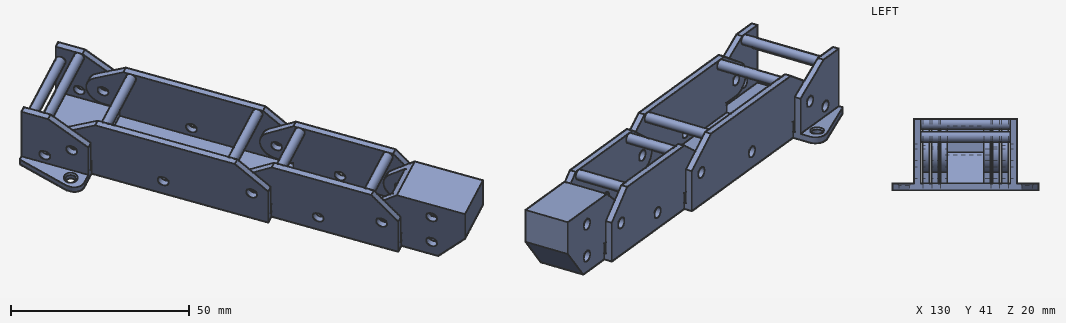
import cadquery as cq
import math

total_length = 130.0
height = 20.0
wall = 2.0
floor = 2.0
side_gap = 0.5
tip_width = 14.0

base_pivot_x = 15.1
long_pitch = 52.9
short_pitch = 38.0
hinge_hole_diameter = 3.2
rod_diameter = 3.0

base_slope = (12.1, 7.0)
long_slope = (10.0, 7.4)
short_slope = (8.0, 7.8)
tip_nose_run = 8.0
tip_nose_rise = height / 2

long_corner_offset = 6.1
short_corner_offset = 5.1
tip_corner_offset = 3.6

long_rear_rod_inset = 2.3
short_rear_rod_inset = 2.0
front_rod_inset = 1.5
base_front_rod_x = 7.0
base_rear_rod_z = 15.0
tip_hole_inset = 10.0

overall_width = 41.0
ear_rear_reach = 15.7
ear_flat_start_x = 15.9
ear_corner_radius = 3.0
ear_rear_radius = 0.5
ear_hole_diameter = 3.0
ear_hole_inset = 3.2
ear_hole_chamfer = 0.45

ear_reach = overall_width / 2
pivot_z = height / 2
lug_radius = height / 4
cord_hole_z = height / 4
rod_radius = rod_diameter / 2

long_pivot_x = base_pivot_x + long_pitch
short_pivot_x = long_pivot_x + short_pitch
base_end_x = base_pivot_x + lug_radius
long_end_x = long_pivot_x + lug_radius
short_end_x = short_pivot_x + lug_radius

short_inner = tip_width + 2 * side_gap
short_outer = short_inner + 2 * wall
long_inner = short_outer + 2 * side_gap
long_outer = long_inner + 2 * wall
base_inner = long_outer + 2 * side_gap
base_outer = base_inner + 2 * wall

rod_top_z = height - rod_radius


def extrude_across(sketch, width):
    """Extrude an XZ outline by width, centred on Y = 0."""
    return sketch.extrude(width).translate((0, width / 2, 0))


def cross_cylinder(x, z, diameter, width):
    """Cylinder along Y, centred on Y = 0."""
    return extrude_across(cq.Workplane("XZ").center(x, z).circle(diameter / 2), width)


def drill_across(body, points):
    """Drill the hinge-size holes through the full width at each (x, z)."""
    for x, z in points:
        body = body.cut(cross_cylinder(x, z, hinge_hole_diameter, base_outer))
    return body


def cut_channel(body, inner):
    """Hollow a body from the top down to the floor, leaving its side walls."""
    channel = (
        cq.Workplane("XY")
        .box(total_length, inner, height, centered=(False, True, False))
        .translate((0, 0, floor))
    )
    return body.cut(channel)


def lug_outline(pivot_x, corner_offset):
    """Start a link outline: floor edge, hinge lug arc, slope tangent to the lug, top corner."""
    corner_rise = height - pivot_z
    corner_distance = math.hypot(corner_offset, corner_rise)
    tangent_angle = math.atan2(corner_rise, corner_offset) + math.acos(lug_radius / corner_distance)
    tangent = (
        pivot_x + lug_radius * math.cos(tangent_angle),
        pivot_z + lug_radius * math.sin(tangent_angle),
    )
    return (
        cq.Workplane("XZ")
        .moveTo(pivot_x + lug_radius, 0)
        .lineTo(pivot_x + lug_radius, pivot_z - lug_radius)
        .lineTo(pivot_x, pivot_z - lug_radius)
        .threePointArc((pivot_x - lug_radius, pivot_z), tangent)
        .lineTo(pivot_x + corner_offset, height)
    )


def channel_link(pivot_x, next_pivot_x, corner_offset, end_slope, outer, inner):
    """U-shaped link with a lug at its own hinge and a fork at the next one."""
    end_x = next_pivot_x + lug_radius
    run, drop = end_slope
    outline = (
        lug_outline(pivot_x, corner_offset)
        .lineTo(end_x - run, height)
        .lineTo(end_x, height - drop)
        .lineTo(end_x, 0)
        .close()
    )
    body = extrude_across(outline, outer)
    middle_x = (pivot_x + next_pivot_x) / 2
    holes = [(pivot_x, pivot_z), (next_pivot_x, pivot_z), (middle_x, cord_hole_z)]
    return drill_across(cut_channel(body, inner), holes)


def ear_plate():
    """Base plate with a tapered ear and countersunk screw hole on each side."""
    plate = (
        cq.Workplane("XY")
        .moveTo(0, -ear_rear_reach)
        .lineTo(ear_flat_start_x, -ear_reach)
        .lineTo(base_end_x, -ear_reach)
        .lineTo(base_end_x, ear_reach)
        .lineTo(ear_flat_start_x, ear_reach)
        .lineTo(0, ear_rear_reach)
        .close()
        .extrude(floor)
    )
    plate = plate.edges("|Z and >X").fillet(ear_corner_radius)
    plate = plate.edges("|Z and <X").fillet(ear_rear_radius)
    hole_y = ear_reach - ear_hole_inset
    return (
        plate.faces(">Z")
        .workplane(origin=(0, 0, floor))
        .pushPoints([(ear_flat_start_x, hole_y), (ear_flat_start_x, -hole_y)])
        .cskHole(ear_hole_diameter, ear_hole_diameter + 2 * ear_hole_chamfer, 90)
    )


def base_bracket():
    """Base with two walls carrying the first hinge, standing on the ear plate."""
    run, drop = base_slope
    outline = (
        cq.Workplane("XZ")
        .lineTo(0, height)
        .lineTo(base_end_x - run, height)
        .lineTo(base_end_x, height - drop)
        .lineTo(base_end_x, 0)
        .close()
    )
    body = cut_channel(extrude_across(outline, base_outer), base_inner).union(ear_plate())
    return drill_across(body, [(base_pivot_x, pivot_z), (base_front_rod_x, cord_hole_z)])


def fingertip():
    """Hollow tip, open toward the hinge, with its nose cut back underneath."""
    nose_x = total_length - tip_nose_run
    outline = (
        lug_outline(short_pivot_x, tip_corner_offset)
        .lineTo(total_length, height)
        .lineTo(total_length, tip_nose_rise)
        .lineTo(nose_x, 0)
        .close()
    )
    nose_length = math.hypot(tip_nose_run, tip_nose_rise)
    front_x = total_length - wall
    slant_shift = wall * nose_length / tip_nose_rise
    nose_slope = tip_nose_rise / tip_nose_run
    cavity = (
        cq.Workplane("XZ")
        .moveTo(short_pivot_x - 2 * lug_radius, floor)
        .lineTo(nose_x - slant_shift + floor / nose_slope, floor)
        .lineTo(front_x, (front_x - nose_x + slant_shift) * nose_slope)
        .lineTo(front_x, height - wall)
        .lineTo(short_pivot_x - 2 * lug_radius, height - wall)
        .close()
    )
    body = extrude_across(outline, tip_width).cut(extrude_across(cavity, tip_width - 2 * wall))
    hole_x = total_length - tip_hole_inset
    holes = [(short_pivot_x, pivot_z), (hole_x, cord_hole_z), (hole_x, height - cord_hole_z)]
    return drill_across(body, holes)


def link_rods(rear_x, front_corner_x, inner):
    """Two rods flush with the top of a link."""
    front_x = front_corner_x - front_rod_inset
    return [cross_cylinder(x, rod_top_z, rod_diameter, inner) for x in (rear_x, front_x)]


base = base_bracket()
long_link = channel_link(
    base_pivot_x, long_pivot_x, long_corner_offset, long_slope, long_outer, long_inner
)
short_link = channel_link(
    long_pivot_x, short_pivot_x, short_corner_offset, short_slope, short_outer, short_inner
)
tip = fingertip()

base_rods = [
    cross_cylinder(x, z, rod_diameter, base_inner)
    for x, z in [(rod_radius, base_rear_rod_z), (base_front_rod_x, rod_top_z)]
]
long_rods = link_rods(
    base_pivot_x + long_corner_offset + long_rear_rod_inset, long_end_x - long_slope[0], long_inner
)
short_rods = link_rods(
    long_pivot_x + short_corner_offset + short_rear_rod_inset, short_end_x - short_slope[0], short_inner
)
rods = base_rods + long_rods + short_rods

result = cq.Compound.makeCompound(
    [base.val(), long_link.val(), short_link.val(), tip.val(), *[rod.val() for rod in rods]]
)